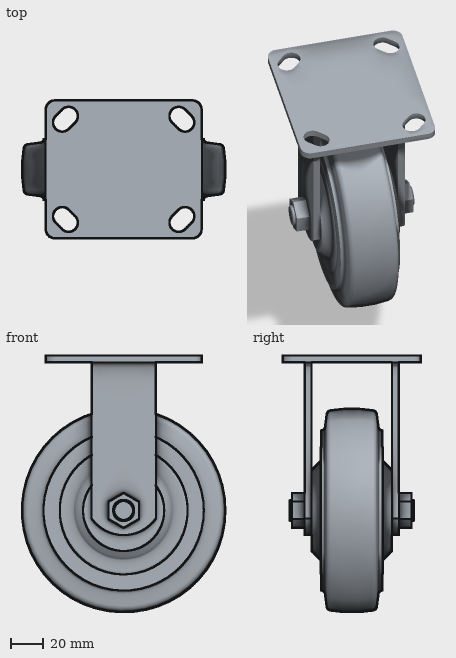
import cadquery as cq
import math


PLATE_LENGTH = 97.2
PLATE_WIDTH = 86.0
PLATE_THICKNESS = 4.3
PLATE_TOP = 96.4
PLATE_CORNER_RADIUS = 6.0
PLATE_BOTTOM = PLATE_TOP - PLATE_THICKNESS

SLOT_SPACING_X = 72.5
SLOT_SPACING_Y = 62.3
SLOT_WIDTH = 11.4
SLOT_CENTER_TRAVEL = 5.6
SLOT_ANGLE = 45
SLOT_LENGTH = SLOT_CENTER_TRAVEL + SLOT_WIDTH

LEG_WIDTH = 40.0
LEG_THICKNESS = 4.3
LEG_SHOULDER_Z = -5.1
LEG_TIP_Z = -15.3

TREAD_RADIUS = 63.5
CROWN_EDGE_RADIUS = 62.3
CROWN_EDGE_HALF_WIDTH = 13.1
SHOULDER_RADIUS = 59.6
SHOULDER_HALF_WIDTH = 15.7
TIRE_INNER_RADIUS = 51.5
TIRE_INNER_HALF_WIDTH = 16.8
RIM_RADIUS = 49.9
RIM_HALF_WIDTH = 19.0
WEB_OUTER_RADIUS = 39.8
WEB_INNER_RADIUS = 38.0
WEB_HALF_WIDTH = 19.5
HUB_BASE_RADIUS = 30.9
HUB_CONE_RADIUS = 30.2
HUB_CONE_HALF_WIDTH = 20.0
HUB_FACE_RADIUS = 25.3
HUB_HALF_WIDTH = 25.0

HUB_FOOT_FILLET = 1.0
RIM_FILLET = 2.2

AXLE_RADIUS = 6.5
AXLE_END_CHAMFER = 0.6
AXLE_PROJECTION = 1.6
NUT_ACROSS_FLATS = 18.9
NUT_THICKNESS = 8.0
LEG_OUTER_Y = HUB_HALF_WIDTH + LEG_THICKNESS
NUT_OUTER_Y = LEG_OUTER_Y + NUT_THICKNESS
AXLE_LENGTH = 2 * (NUT_OUTER_Y + AXLE_PROJECTION)


def make_plate():
    plate = (
        cq.Workplane("XY", origin=(0, 0, PLATE_BOTTOM))
        .rect(PLATE_LENGTH, PLATE_WIDTH)
        .extrude(PLATE_THICKNESS)
        .edges("|Z")
        .fillet(PLATE_CORNER_RADIUS)
    )
    for side_x in (-1, 1):
        for side_y in (-1, 1):
            slot = (
                cq.Workplane("XY", origin=(0, 0, PLATE_BOTTOM))
                .center(side_x * SLOT_SPACING_X / 2, side_y * SLOT_SPACING_Y / 2)
                .slot2D(SLOT_LENGTH, SLOT_WIDTH, -side_x * side_y * SLOT_ANGLE)
                .extrude(PLATE_THICKNESS)
            )
            plate = plate.cut(slot)
    return plate


def make_leg(back_y):
    """Flat leg with a rounded end."""
    half_width = LEG_WIDTH / 2
    return (
        cq.Workplane("XZ", origin=(0, back_y, 0))
        .moveTo(-half_width, PLATE_BOTTOM)
        .lineTo(-half_width, LEG_SHOULDER_Z)
        .threePointArc((0, LEG_TIP_Z), (half_width, LEG_SHOULDER_Z))
        .lineTo(half_width, PLATE_BOTTOM)
        .close()
        .extrude(LEG_THICKNESS)
    )


def make_nut(back_y):
    """Hexagon nut with two corners pointing up and down."""
    across_corners = NUT_ACROSS_FLATS / math.cos(math.pi / 6)
    return (
        cq.Workplane("XZ", origin=(0, back_y, 0))
        .transformed(rotate=(0, 0, 90))
        .polygon(6, across_corners)
        .extrude(NUT_THICKNESS)
    )


def make_axle():
    return (
        cq.Workplane("XZ", origin=(0, AXLE_LENGTH / 2, 0))
        .circle(AXLE_RADIUS)
        .extrude(AXLE_LENGTH)
        .faces("<Y or >Y")
        .chamfer(AXLE_END_CHAMFER)
    )


def make_fork():
    """Plate, legs, axle and nuts as one rigid body."""
    fork = make_plate().union(make_axle())
    for leg_y in (LEG_OUTER_Y, -HUB_HALF_WIDTH):
        fork = fork.union(make_leg(leg_y))
    for nut_y in (NUT_OUTER_Y, -LEG_OUTER_Y):
        fork = fork.union(make_nut(nut_y))
    return fork


def make_wheel():
    """Half outline, with X as radius, revolved about Y, mirrored and crowned."""
    half_wheel = (
        cq.Workplane("XY")
        .moveTo(AXLE_RADIUS, 0)
        .lineTo(AXLE_RADIUS, HUB_HALF_WIDTH)
        .lineTo(HUB_FACE_RADIUS, HUB_HALF_WIDTH)
        .lineTo(HUB_CONE_RADIUS, HUB_CONE_HALF_WIDTH)
        .radiusArc((HUB_BASE_RADIUS, WEB_HALF_WIDTH), -HUB_FOOT_FILLET)
        .lineTo(WEB_INNER_RADIUS, WEB_HALF_WIDTH)
        .tangentArcPoint((WEB_OUTER_RADIUS, RIM_HALF_WIDTH), relative=False)
        .lineTo(RIM_RADIUS, RIM_HALF_WIDTH)
        .radiusArc((TIRE_INNER_RADIUS, TIRE_INNER_HALF_WIDTH), -RIM_FILLET)
        .lineTo(SHOULDER_RADIUS, SHOULDER_HALF_WIDTH)
        .tangentArcPoint((CROWN_EDGE_RADIUS, CROWN_EDGE_HALF_WIDTH), relative=False)
        .lineTo(CROWN_EDGE_RADIUS, 0)
        .close()
        .revolve(360, (0, 0, 0), (0, 1, 0))
    )
    crown = (
        cq.Workplane("XY")
        .moveTo(CROWN_EDGE_RADIUS, CROWN_EDGE_HALF_WIDTH)
        .threePointArc((TREAD_RADIUS, 0), (CROWN_EDGE_RADIUS, -CROWN_EDGE_HALF_WIDTH))
        .close()
        .revolve(360, (0, 0, 0), (0, 1, 0))
    )
    return half_wheel.union(half_wheel.mirror("XZ")).union(crown)


fork = make_fork()
wheel = make_wheel()
result = cq.Compound.makeCompound([fork.val(), wheel.val()])